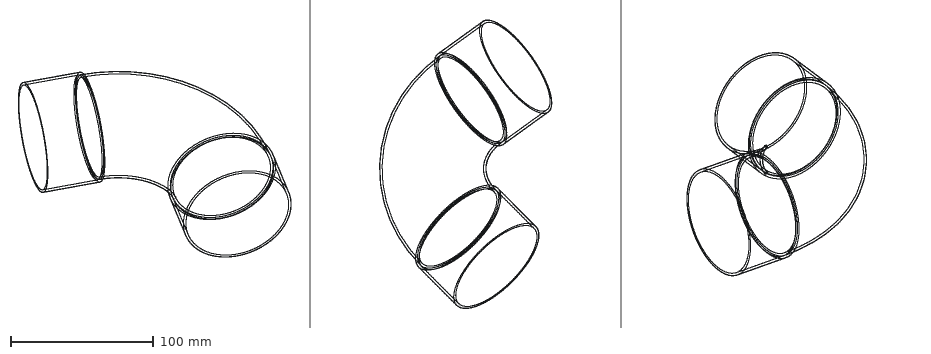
import cadquery as cq

overall_length = 156.1
socket_diameter = 78.7
socket_bore = 75.0
socket_length = 41.5
socket_depth = 40.0
bend_diameter = 75.0
bend_bore = 71.3
bend_angle = 90

mouth_reach = overall_length - socket_diameter / 2
bend_radius = mouth_reach - socket_length


def socket():
    """Socket along +Y from its mouth at the origin, with a bore tapering to the bend at its inner end."""
    half_section = [
        (socket_bore / 2, 0),
        (socket_diameter / 2, 0),
        (socket_diameter / 2, socket_length),
        (bend_bore / 2, socket_length),
        (socket_bore / 2, socket_depth),
    ]
    return cq.Workplane("XY").polyline(half_section).close().revolve(360, (0, 0, 0), (0, 1, 0))


def bend_tube():
    """Quarter-torus tube joining the inner ends of the two sockets."""
    return (
        cq.Workplane("XZ", origin=(0, socket_length, 0))
        .circle(bend_diameter / 2)
        .circle(bend_bore / 2)
        .revolve(bend_angle, (bend_radius, 1.5, 0), (bend_radius, 0, 0))
    )


inlet = socket()
outlet = socket().rotate((0, 0, 0), (0, 0, 1), 90).translate((mouth_reach, mouth_reach, 0))
result = bend_tube().union(inlet).union(outlet)